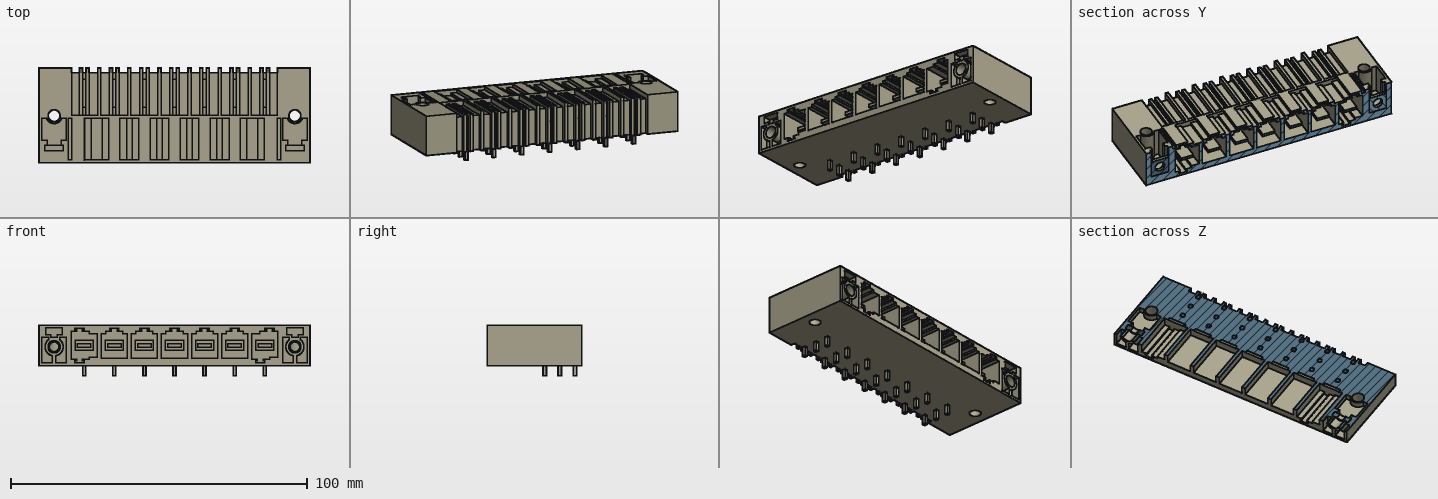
import cadquery as cq

LENGTH = 91.4
DEPTH = 32.0
HEIGHT = 13.7
TAIL_LENGTH = 3.4
PITCH = 10.15
POLES = 7
SKIN = 1.0

POLE_X = [PITCH * (i - (POLES - 1) / 2) for i in range(POLES)]
FIRST_POLE = POLE_X[0]
LAST_POLE = POLE_X[-1]
FLANGE_X = [FIRST_POLE - PITCH, LAST_POLE + PITCH]

SOCKET_END = 15.0
SOCKET_WIDTH = 8.8
SOCKET_FLOOR = 2.5
SHOULDER_Z = 10.8
RAISED_Z = 11.6
RAISED_WIDTH = 5.8
KEY_TOP = HEIGHT - SKIN
KEY_HEAD_HEIGHT = 0.55
KEY_HEAD_WIDTH = 3.1
KEY_NECK_WIDTH = 1.9
OUTER_KEY_OFFSET = 1.6
OUTER_STEP = 1.65
OUTER_HIGH_FLOOR = 2.9
OUTER_LOW_FLOOR = 2.2
LOWER_KEY_BOTTOM = 1.1

RELIEF_WIDTH = 6.3
RELIEF_DEEP_WIDTH = 1.9
OUTER_RELIEF_START = 0.2
OUTER_DEEP_START = 2.4
RELIEF_Z = RAISED_Z + SKIN
RELIEF_DEEP_Z = SHOULDER_Z + SKIN
SIDE_RELIEF_INNER = 4.2
SIDE_RELIEF_OUTER = 5.3

TERRACE_START = 16.1
TERRACE_BACK = 30.45
TERRACE_HALF = LAST_POLE + 4.2
TERRACE_Z = 12.0
FIN_THICKNESS = 1.1
FIN_PAIR_OFFSET = 1.1
FIN_PAIR_TOP = 13.0

BLADE_WIDTH = 4.6
CONTACT_THICKNESS = 1.1
BLADE_Z = 6.9
BLADE_TIP = 4.6
BLADE_RECESS_WIDTH = 6.1
BLADE_RECESS_HEIGHT = 3.4
TAIL_PITCH = PITCH / 2
TAIL_DEPTH = 1.3
FIRST_TAIL = 19.5
TAIL_Y = [FIRST_TAIL + TAIL_PITCH * i for i in range(3)]
RISER_END = 28.3

FLANGE_WIDTH = 8.3
BORE_Z = 6.4
BORE_DIAMETER = 4.1
SLEEVE_DIAMETER = 6.1
CHAMBER_BOTTOM = 1.0
CHAMBER_TOP = 9.6
RIB_WIDTH = 1.1
BRIDGE_WIDTH = 3.75
KEYWAY_BOTTOM = 10.5
KEYWAY_TOP = 12.9
KEYWAY_WIDTH = 5.6
KEYWAY_NECK_WIDTH = 2.2
NUT_FRONT = 4.0
NUT_THICKNESS = 2.0
NUT_SIZE = 6.2
NUT_HOLE_DIAMETER = 3.3
NUT_BACK = NUT_FRONT + NUT_THICKNESS
FRONT_DEPTH = NUT_FRONT - SKIN
POCKET_FRONT = 7.7
POCKET_NECK_WIDTH = 4.7
POCKET_FLOOR = BORE_Z - NUT_SIZE / 2
SCREW_Y = 15.9
SCREW_HOLE_DIAMETER = 3.9
BOSS_DIAMETER = 5.3


def block(x_range, y_range, z_range):
    """Box from its limits along X, Y and Z."""
    (x0, x1), (y0, y1), (z0, z1) = x_range, y_range, z_range
    return cq.Workplane("XY").box(x1 - x0, y1 - y0, z1 - z0, centered=False).translate((x0, y0, z0))


def centred(middle, width):
    """Limits of a span of the given width about its middle."""
    return (middle - width / 2, middle + width / 2)


def bar_y(x, z, diameter, y_range):
    """Round bar along Y."""
    y0, y1 = y_range
    return cq.Workplane("XZ", origin=(x, y0, z)).circle(diameter / 2).extrude(y0 - y1)


def bar_z(x, y, diameter, z_range):
    """Round bar along Z."""
    z0, z1 = z_range
    return cq.Workplane("XY", origin=(x, y, z0)).circle(diameter / 2).extrude(z1 - z0)


def key_slot(x, inner_z, tip_z):
    """T-shaped coding groove from a socket roof or floor out to tip_z."""
    depth = (0, SOCKET_END)
    head_z = tip_z - KEY_HEAD_HEIGHT if tip_z > inner_z else tip_z + KEY_HEAD_HEIGHT
    neck = block(centred(x, KEY_NECK_WIDTH), depth, sorted((inner_z, head_z)))
    head = block(centred(x, KEY_HEAD_WIDTH), depth, sorted((head_z, tip_z)))
    return neck.union(head)


def inner_socket(x):
    """Socket cavity with a raised roof centred on the pole."""
    depth = (0, SOCKET_END)
    cavity = block(centred(x, SOCKET_WIDTH), depth, (SOCKET_FLOOR, SHOULDER_Z))
    raised = block(centred(x, RAISED_WIDTH), depth, (SOCKET_FLOOR, RAISED_Z))
    return cavity.union(raised).union(key_slot(x, RAISED_Z, KEY_TOP))


def outer_socket(x, side):
    """End socket: roof raised toward the flange (side = -1 or 1), floor lowered toward -X."""
    depth = (0, SOCKET_END)
    cavity = block(centred(x, SOCKET_WIDTH), depth, (OUTER_HIGH_FLOOR, SHOULDER_Z))
    raised_x = sorted((x + side * SOCKET_WIDTH / 2, x - side * OUTER_STEP))
    raised = block(raised_x, depth, (OUTER_HIGH_FLOOR, RAISED_Z))
    lowered = block((x - SOCKET_WIDTH / 2, x + OUTER_STEP), depth, (OUTER_LOW_FLOOR, SHOULDER_Z))
    upper_key = key_slot(x + side * OUTER_KEY_OFFSET, RAISED_Z, KEY_TOP)
    lower_key = key_slot(x - OUTER_KEY_OFFSET, OUTER_LOW_FLOOR, LOWER_KEY_BOTTOM)
    return cavity.union(raised).union(lowered).union(upper_key).union(lower_key)


def blade_recess(x):
    """Shallow rectangular recess around the blade in the socket end wall."""
    return block(
        centred(x, BLADE_RECESS_WIDTH),
        (SOCKET_END, SOCKET_END + SKIN),
        centred(BLADE_Z, BLADE_RECESS_HEIGHT),
    )


def stepped_relief(x_range, deep_range):
    """Top recess with a deeper middle channel."""
    span = (SKIN, SOCKET_END)
    shallow = block(x_range, span, (RELIEF_Z, HEIGHT))
    deep = block(deep_range, span, (RELIEF_DEEP_Z, HEIGHT))
    return shallow.union(deep)


def top_reliefs():
    """All recesses in the top face above the sockets."""
    reliefs = []
    for gap in range(POLES - 1):
        middle = (POLE_X[gap] + POLE_X[gap + 1]) / 2
        start, end = centred(middle, RELIEF_WIDTH)
        deep_start, deep_end = centred(middle, RELIEF_DEEP_WIDTH)
        if gap == 0:
            start = FIRST_POLE + OUTER_RELIEF_START
            deep_start = FIRST_POLE + OUTER_DEEP_START
        if gap == POLES - 2:
            end = LAST_POLE - OUTER_RELIEF_START
            deep_end = LAST_POLE - OUTER_DEEP_START
        reliefs.append(stepped_relief((start, end), (deep_start, deep_end)))
    for x, side in ((FIRST_POLE, -1), (LAST_POLE, 1)):
        edges = sorted((x + side * SIDE_RELIEF_INNER, x + side * SIDE_RELIEF_OUTER))
        reliefs.append(block(edges, (SKIN, SOCKET_END), (RELIEF_Z, HEIGHT)))
    return reliefs


def rear_clearance():
    """Space cut away above the terrace and behind it, with the fins left standing."""
    x_range = (-TERRACE_HALF, TERRACE_HALF)
    space = block(x_range, (TERRACE_START, DEPTH), (TERRACE_Z, HEIGHT))
    space = space.union(block(x_range, (TERRACE_BACK, DEPTH), (0, HEIGHT)))
    pair_x = [x + side * FIN_PAIR_OFFSET for x in POLE_X for side in (-1, 1)]
    single_x = [x + PITCH / 2 for x in POLE_X[:-1]]
    fins = [(x, FIN_PAIR_TOP) for x in pair_x] + [(x, HEIGHT) for x in single_x]
    for x, top in fins:
        space = space.cut(block(centred(x, FIN_THICKNESS), (TERRACE_START, DEPTH), (0, top)))
    return space


def front_chamber(x):
    """Chamber around the screw sleeve, split by the bridge above it and the rib below it."""
    depth = (0, FRONT_DEPTH)
    chamber = block(centred(x, FLANGE_WIDTH), depth, (CHAMBER_BOTTOM, CHAMBER_TOP))
    chamber = chamber.cut(bar_y(x, BORE_Z, SLEEVE_DIAMETER, depth))
    chamber = chamber.cut(block(centred(x, RIB_WIDTH), depth, (CHAMBER_BOTTOM, BORE_Z)))
    return chamber.cut(block(centred(x, BRIDGE_WIDTH), depth, (BORE_Z, CHAMBER_TOP)))


def keyway(x):
    """T-shaped slot above the sleeve."""
    depth = (0, FRONT_DEPTH)
    head = block(centred(x, KEYWAY_WIDTH), depth, (KEYWAY_BOTTOM, KEYWAY_TOP))
    neck = block(centred(x, KEYWAY_NECK_WIDTH), depth, (CHAMBER_TOP, KEYWAY_BOTTOM))
    return head.union(neck)


def nut_pocket(x):
    """Pocket open at the top: nut slot, neck and wide chamber around the screw boss."""
    levels = (POCKET_FLOOR, HEIGHT)
    slot = block(centred(x, NUT_SIZE), (NUT_FRONT, NUT_BACK), levels)
    neck = block(centred(x, POCKET_NECK_WIDTH), (NUT_BACK, POCKET_FRONT), levels)
    chamber = block(centred(x, FLANGE_WIDTH), (POCKET_FRONT, SOCKET_END), levels)
    chamber = chamber.cut(bar_z(x, SCREW_Y, BOSS_DIAMETER, levels))
    return slot.union(neck).union(chamber)


def make_housing(contacts):
    """Moulded housing with every cavity, fitted around the contacts."""
    housing = block((-LENGTH / 2, LENGTH / 2), (0, DEPTH), (0, HEIGHT))
    housing = housing.cut(rear_clearance())
    for x in POLE_X[1:-1]:
        housing = housing.cut(inner_socket(x))
    housing = housing.cut(outer_socket(FIRST_POLE, -1)).cut(outer_socket(LAST_POLE, 1))
    for x in POLE_X:
        housing = housing.cut(blade_recess(x))
    for relief in top_reliefs():
        housing = housing.cut(relief)
    for x in FLANGE_X:
        housing = housing.cut(front_chamber(x)).cut(keyway(x)).cut(nut_pocket(x))
        housing = housing.cut(bar_y(x, BORE_Z, BORE_DIAMETER, (0, NUT_FRONT)))
        housing = housing.cut(bar_z(x, SCREW_Y, SCREW_HOLE_DIAMETER, (0, HEIGHT)))
    for contact in contacts:
        housing = housing.cut(contact)
    return housing


def make_contact(x):
    """Flat blade joined to an upright plate that carries three tails."""
    plate_x = centred(x, CONTACT_THICKNESS)
    plate_front = TAIL_Y[0] - TAIL_DEPTH / 2
    plate_back = TAIL_Y[-1] + TAIL_DEPTH / 2
    blade_z = centred(BLADE_Z, CONTACT_THICKNESS)
    blade_end = plate_front + TAIL_DEPTH
    contact = block(centred(x, BLADE_WIDTH), (BLADE_TIP, blade_end), blade_z)
    contact = contact.union(block(plate_x, (plate_front, plate_back), blade_z))
    contact = contact.union(block(plate_x, (plate_front, RISER_END), (BLADE_Z, TERRACE_Z)))
    for y in TAIL_Y:
        contact = contact.union(block(plate_x, centred(y, TAIL_DEPTH), (-TAIL_LENGTH, BLADE_Z)))
    return contact


def make_nut(x):
    """Square nut that fills the lower part of its slot."""
    nut = block(centred(x, NUT_SIZE), (NUT_FRONT, NUT_BACK), centred(BORE_Z, NUT_SIZE))
    return nut.cut(bar_y(x, BORE_Z, NUT_HOLE_DIAMETER, (NUT_FRONT, NUT_BACK)))


contacts = [make_contact(x) for x in POLE_X]
nuts = [make_nut(x) for x in FLANGE_X]
housing = make_housing(contacts)

bodies = [housing, *contacts, *nuts]
result = cq.Compound.makeCompound([body.solids().val() for body in bodies])